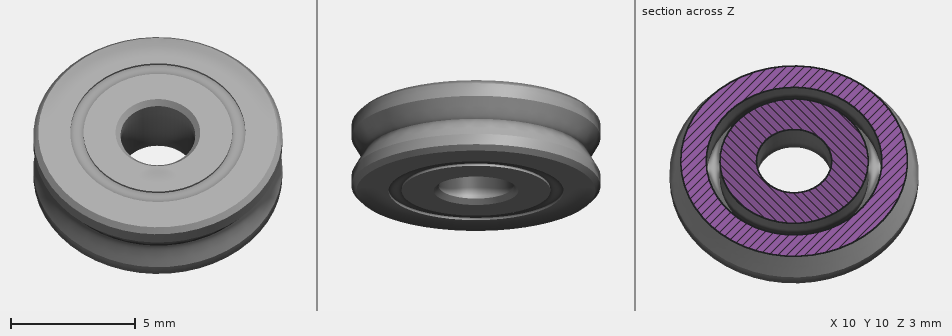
import cadquery as cq

OUTER_DIAMETER = 10.0
BORE_DIAMETER = 3.0
WIDTH = 3.0
EDGE_CHAMFER = 0.2

GROOVE_CENTRE_Z = 1.45
GROOVE_WIDTH = 1.62
GROOVE_DEPTH = 0.47

INNER_RING_DIAMETER = 5.97
OUTER_RING_BORE = 7.03
SHIELD_RECESS = 0.1
SHIELD_THICKNESS = 0.2


def tube(outer_diameter, inner_diameter, height, bottom_z=0.0):
    """Plain ring about the Z axis, standing on bottom_z."""
    return (
        cq.Workplane("XY")
        .workplane(offset=bottom_z)
        .circle(outer_diameter / 2)
        .circle(inner_diameter / 2)
        .extrude(height)
    )


def make_groove_cutter():
    """Revolved triangle that cuts the V groove into the rim."""
    rim_radius = OUTER_DIAMETER / 2
    half_width = GROOVE_WIDTH / 2
    return (
        cq.Workplane("XZ")
        .moveTo(rim_radius, GROOVE_CENTRE_Z - half_width)
        .lineTo(rim_radius - GROOVE_DEPTH, GROOVE_CENTRE_Z)
        .lineTo(rim_radius, GROOVE_CENTRE_Z + half_width)
        .close()
        .revolve(360, (0, 0, 0), (0, 1, 0))
    )


def make_outer_ring():
    """Outer ring with chamfered rim edges and a V groove."""
    ring = tube(OUTER_DIAMETER, OUTER_RING_BORE, WIDTH)
    rim_edges = cq.selectors.RadiusNthSelector(-1)
    ring = ring.edges("%CIRCLE").edges(rim_edges).chamfer(EDGE_CHAMFER)
    return ring.cut(make_groove_cutter())


def make_inner_ring():
    """Inner ring with chamfered bore edges."""
    ring = tube(INNER_RING_DIAMETER, BORE_DIAMETER, WIDTH)
    bore_edges = cq.selectors.RadiusNthSelector(0)
    return ring.edges("%CIRCLE").edges(bore_edges).chamfer(EDGE_CHAMFER)


def make_shield(bottom_z):
    """Flat annular shield that fills the gap between the rings."""
    return tube(OUTER_RING_BORE, INNER_RING_DIAMETER, SHIELD_THICKNESS, bottom_z)


outer_ring = make_outer_ring()
inner_ring = make_inner_ring()

shield_heights = [SHIELD_RECESS, WIDTH - SHIELD_RECESS - SHIELD_THICKNESS]
shields = [make_shield(bottom_z) for bottom_z in shield_heights]

result = cq.Compound.makeCompound(
    [outer_ring.val(), inner_ring.val(), *[shield.val() for shield in shields]]
)